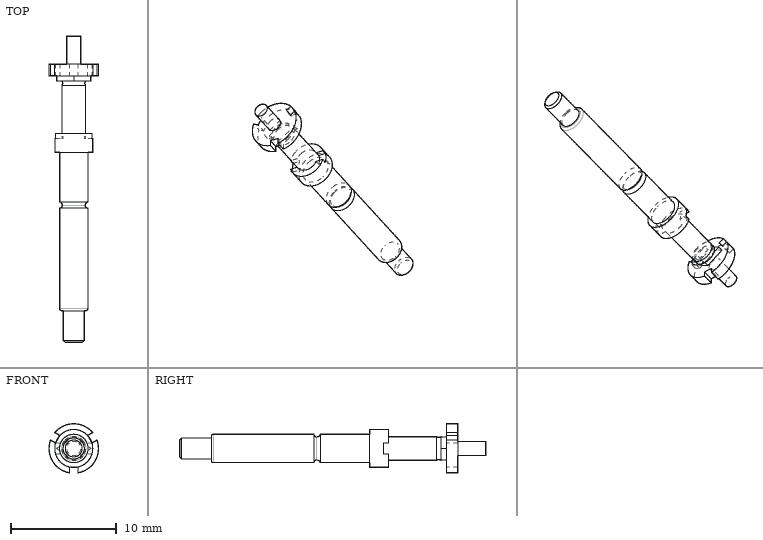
import cadquery as cq

total_length = 29.0

tip_radius = 1.0
tip_length = 3.0
tip_chamfer = 0.2

barrel_radius = 1.35
barrel_end = 18.0
barrel_rounding = 0.2
groove_front = 12.72
groove_length = 0.6
groove_depth = 0.25

collar_radius = 1.8
collar_length = 1.8
notch_width = 1.0
notch_depth = 0.5

shaft_radius = 1.13
neck_depth = 0.07
neck_length = 0.42

block_length = 0.5
block_half_width = 1.63
block_half_height = 1.1

flange_radius = 2.35
flange_length = 1.1
slot_count = 3
slot_width = 0.8
slot_floor_radius = 1.75
first_slot_angle = -90.0

pin_radius = 0.67
pin_length = 2.65

groove_radius = barrel_radius - groove_depth
groove_rear = groove_front + groove_length
groove_bottom = groove_front + groove_depth
groove_rear_arc = ((groove_rear - groove_bottom) ** 2 + groove_depth**2) / (2 * groove_depth)
collar_end = barrel_end + collar_length
flange_end = total_length - pin_length
flange_start = flange_end - flange_length
block_start = flange_start - block_length
neck_start = block_start - neck_length


def turned_body():
    """Tip, barrel, collar and shaft: half profile in (radius, Y), revolved about Y."""
    front = cq.Workplane("XY").lineTo(tip_radius - tip_chamfer, 0).lineTo(tip_radius, tip_chamfer)
    shoulder = (
        front.lineTo(tip_radius, tip_length)
        .lineTo(barrel_radius - barrel_rounding, tip_length)
        .radiusArc((barrel_radius, tip_length + barrel_rounding), -barrel_rounding)
    )
    groove = (
        shoulder.lineTo(barrel_radius, groove_front)
        .radiusArc((groove_radius, groove_bottom), groove_depth)
        .radiusArc((barrel_radius, groove_rear), groove_rear_arc)
    )
    collar = (
        groove.lineTo(barrel_radius, barrel_end)
        .lineTo(collar_radius, barrel_end)
        .lineTo(collar_radius, collar_end)
        .lineTo(shaft_radius, collar_end)
    )
    neck_middle = (neck_start + block_start) / 2
    neck = collar.lineTo(shaft_radius, neck_start).threePointArc(
        (shaft_radius - neck_depth, neck_middle), (shaft_radius, block_start)
    )
    profile = neck.lineTo(0, block_start).close()
    return profile.revolve(360, (0, 0, 0), (0, 1, 0))


def flange_and_pin():
    """Round flange with the rear pin standing on its back face."""
    flange = cq.Workplane("XZ", origin=(0, flange_start, 0)).circle(flange_radius).extrude(-flange_length)
    pin = cq.Workplane("XZ", origin=(0, flange_end, 0)).circle(pin_radius).extrude(-pin_length)
    return flange.union(pin)


def drive_block():
    """Rhombic prism with its corners on the X and Z axes, in front of the flange."""
    corners = [
        (block_half_width, 0),
        (0, block_half_height),
        (-block_half_width, 0),
        (0, -block_half_height),
    ]
    plane = cq.Workplane("XZ", origin=(0, block_start, 0))
    return plane.polyline(corners).close().extrude(-block_length)


def flange_slot(angle):
    """Radial slot through the flange, with a flat floor, at an angle from +X towards +Z."""
    slot = cq.Workplane("XY").box(
        flange_radius, flange_length, slot_width, centered=(False, False, True)
    )
    slot = slot.translate((slot_floor_radius, flange_start, 0))
    return slot.rotate((0, 0, 0), (0, 1, 0), -angle)


def collar_notches():
    """Slot across the rear face of the collar along X, stopping at the shaft surface."""
    across = cq.Workplane("XY").box(
        2 * flange_radius, notch_depth, notch_width, centered=(True, False, True)
    )
    across = across.translate((0, collar_end - notch_depth, 0))
    core = cq.Workplane("XZ").circle(shaft_radius).extrude(-total_length)
    return across.cut(core)


result = turned_body().union(drive_block()).union(flange_and_pin()).cut(collar_notches())
for index in range(slot_count):
    result = result.cut(flange_slot(first_slot_angle + index * 360 / slot_count))